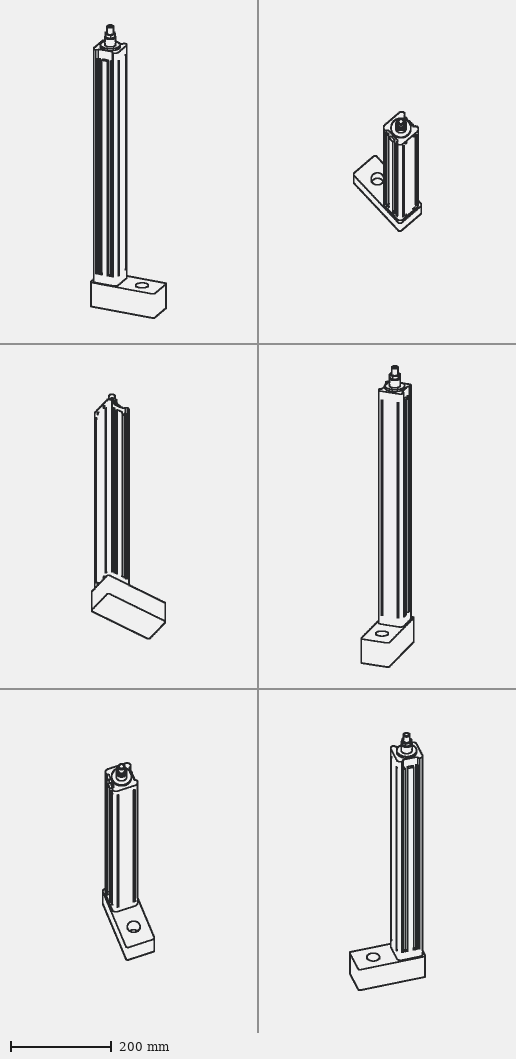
import cadquery as cq

BASE_LENGTH = 140.0
BASE_WIDTH = 60.0
BASE_HEIGHT = 52.0
BASE_EDGE_RADIUS = 4.0
MOTOR_BORE_DIAMETER = 25.0
MOTOR_BORE_DEPTH = 36.0
BORE_SPACING = 70.0

COLUMN_SIDE = 53.5
COLUMN_TOP = 556.0
CORNER_RADIUS = 8.0
AXIS_X = 30.0
AXIS_Y = BASE_WIDTH / 2
HALF_SIDE = COLUMN_SIDE / 2
FLAT_HALF = HALF_SIDE - CORNER_RADIUS
END_LENGTH = 20.0
PROFILE_BOTTOM = BASE_HEIGHT + END_LENGTH
PROFILE_LENGTH = COLUMN_TOP - BASE_HEIGHT - 2 * END_LENGTH

GROOVE_WIDTH = 3.5
GROOVE_DEPTH = 3.0
SLOT_WIDTH = 6.0
SLOT_OFFSET = 9.0
SLOT_DEPTH = 5.5

NOTCH_HALF_WIDTH = FLAT_HALF - GROOVE_WIDTH
NOTCH_FILLET = 2.7
NOTCH_DEPTH = SLOT_DEPTH
NOTCH_BEVEL_DEPTH = 2.5

MOUNT_HOLE_DIAMETER = 5.0
MOUNT_HOLE_DEPTH = 7.0
MOUNT_HOLE_OFFSET = 11.0
MOUNT_HOLE_INSET = 10.0

TOTAL_HEIGHT = 601.0
FLANGE_DIAMETER = 39.5
FLANGE_THICKNESS = 4.0
FLANGE_TOP = COLUMN_TOP + FLANGE_THICKNESS
ROD_DIAMETER = 21.5
ROD_TOP = 576.5
NUT_BOTTOM = 578.0
NECK_DIAMETER = 18.5
NUT_ACROSS_CORNERS = ROD_DIAMETER
NUT_TOP = 585.0
THREAD_DIAMETER = 13.0
TIP_CHAMFER = 2.0


def level(z):
    """Horizontal workplane at height z, centred on the column axis."""
    return cq.Workplane("XY", origin=(AXIS_X, AXIS_Y, z))


def turned(solid, quarter_turns):
    """Turn a solid about the column axis, from the -Y face to another face."""
    return solid.rotate((AXIS_X, AXIS_Y, 0), (AXIS_X, AXIS_Y, 1), 90 * quarter_turns)


def make_base():
    base = cq.Workplane("XY").box(BASE_LENGTH, BASE_WIDTH, BASE_HEIGHT, centered=False)
    base = base.edges("|Z").fillet(BASE_EDGE_RADIUS)
    bore_centre = level(BASE_HEIGHT).center(BORE_SPACING, 0)
    bore = bore_centre.circle(MOTOR_BORE_DIAMETER / 2).extrude(-MOTOR_BORE_DEPTH)
    return base.cut(bore)


def make_column():
    column = level(BASE_HEIGHT).rect(COLUMN_SIDE, COLUMN_SIDE).extrude(COLUMN_TOP - BASE_HEIGHT)
    return column.edges("|Z").fillet(CORNER_RADIUS)


def face_grooves():
    """Pair of V-grooves in the -Y face, one beside each rounded corner."""
    grooves = cq.Workplane()
    for side in (-1, 1):
        points = [
            (side * FLAT_HALF, -HALF_SIDE),
            (side * (FLAT_HALF - GROOVE_WIDTH / 2), -HALF_SIDE + GROOVE_DEPTH),
            (side * (FLAT_HALF - GROOVE_WIDTH), -HALF_SIDE),
        ]
        grooves = grooves.add(level(PROFILE_BOTTOM).polyline(points).close().extrude(PROFILE_LENGTH))
    return grooves.combine()


def sensor_slots():
    """Two open slots in the -Y face."""
    centres = [(side * SLOT_OFFSET, -HALF_SIDE + SLOT_DEPTH / 2) for side in (-1, 1)]
    return level(PROFILE_BOTTOM).pushPoints(centres).rect(SLOT_WIDTH, SLOT_DEPTH).extrude(PROFILE_LENGTH)


def top_notch():
    """Notch at the top of the -Y face: bevelled mouth, flat floor with rounded corners."""
    mouth_y = -HALF_SIDE
    floor_y = mouth_y + NOTCH_DEPTH
    points = [
        (-FLAT_HALF, mouth_y),
        (-NOTCH_HALF_WIDTH, mouth_y + NOTCH_BEVEL_DEPTH),
        (-NOTCH_HALF_WIDTH, floor_y),
        (NOTCH_HALF_WIDTH, floor_y),
        (NOTCH_HALF_WIDTH, mouth_y + NOTCH_BEVEL_DEPTH),
        (FLAT_HALF, mouth_y),
    ]
    notch = level(COLUMN_TOP - END_LENGTH).polyline(points).close().extrude(END_LENGTH)
    return notch.edges("|Z and >Y").fillet(NOTCH_FILLET)


def mounting_holes():
    """Four blind holes in the -X face, two near each end of the column."""
    face = cq.Workplane("YZ", origin=(AXIS_X - HALF_SIDE, AXIS_Y, 0))
    heights = (BASE_HEIGHT + MOUNT_HOLE_INSET, COLUMN_TOP - MOUNT_HOLE_INSET)
    centres = [(side * MOUNT_HOLE_OFFSET, z) for side in (-1, 1) for z in heights]
    return face.pushPoints(centres).circle(MOUNT_HOLE_DIAMETER / 2).extrude(MOUNT_HOLE_DEPTH)


def make_rod_end():
    flange = level(COLUMN_TOP).circle(FLANGE_DIAMETER / 2).extrude(FLANGE_THICKNESS)
    rod = level(FLANGE_TOP).circle(ROD_DIAMETER / 2).extrude(ROD_TOP - FLANGE_TOP)
    nut = level(NUT_BOTTOM).polygon(6, NUT_ACROSS_CORNERS).extrude(NUT_TOP - NUT_BOTTOM)
    neck = level(ROD_TOP).circle(NECK_DIAMETER / 2).extrude(NUT_BOTTOM - ROD_TOP)
    thread = level(NUT_TOP).circle(THREAD_DIAMETER / 2).extrude(TOTAL_HEIGHT - NUT_TOP)
    thread = thread.faces(">Z").chamfer(TIP_CHAMFER)
    return flange.union(rod).union(neck).union(nut).union(thread)


column = make_column()
for face in range(4):
    column = column.cut(turned(face_grooves(), face))
for face in (0, 2):
    column = column.cut(turned(sensor_slots(), face))
    column = column.cut(turned(top_notch(), face))
column = column.cut(mounting_holes())

result = make_base().union(column).union(make_rod_end())